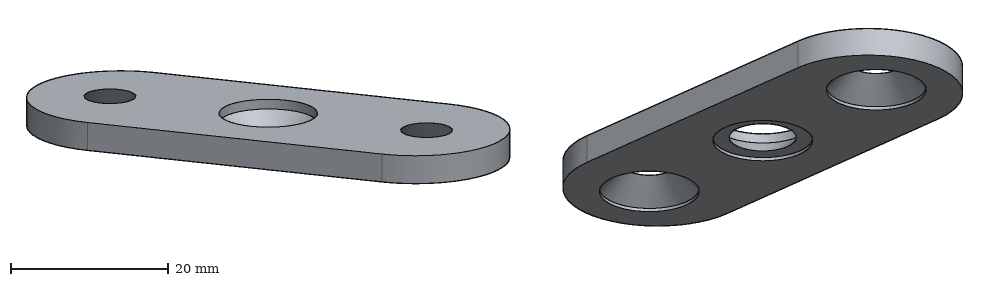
import cadquery as cq

length = 64.0
width = 24.0
thickness = 3.7

recess_diameter = 12.7
recess_depth = 0.45

end_hole_diameter = 6.5
end_hole_spacing = 43.0

center_hole_diameter = 8.5
center_entry_diameter = 12.5
center_entry_depth = 1.3


def revolve_hole(wall_points):
    """Solid of revolution about Z whose wall follows (radius, height) points upward."""
    return (
        cq.Workplane("XZ")
        .polyline([(0, 0), *wall_points, (0, thickness)])
        .close()
        .revolve(360, (0, 0, 0), (0, 1, 0))
    )


recess_radius = recess_diameter / 2

center_hole = revolve_hole([
    (recess_radius, 0),
    (recess_radius, recess_depth),
    (center_hole_diameter / 2, recess_depth),
    (center_entry_diameter / 2, thickness - center_entry_depth),
    (center_entry_diameter / 2, thickness),
])

end_hole = revolve_hole([
    (recess_radius, 0),
    (recess_radius, recess_depth),
    (end_hole_diameter / 2, thickness),
])

result = cq.Workplane("XY").slot2D(length, width).extrude(thickness).cut(center_hole)
for side in (-1, 1):
    result = result.cut(end_hole.translate((side * end_hole_spacing / 2, 0, 0)))